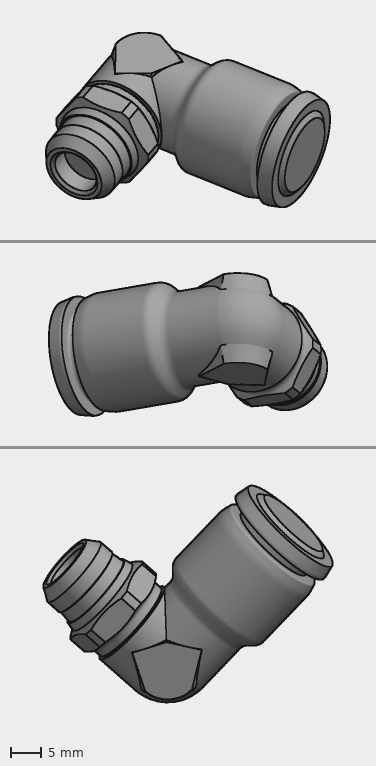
import cadquery as cq
import math


elbow_radius = 8.0
stud_leg_end = 8.05

socket_radius = 10.0
shoulder_start = 9.18
shoulder_fillet = 2.0
shoulder_angle = math.radians(45)
socket_straight_end = 23.35
socket_taper_start = 24.4
socket_taper_angle = math.radians(15)
socket_edge_fillet = 0.47
socket_end = 25.83

collar_neck_radius = 7.4
collar_start = 27.45
collar_root_fillet = 0.55
collar_rim_width = 0.5
collar_end = 30.0
collar_end_radius = 9.55
nose_base_radius = 7.55
nose_tip_radius = 6.55
nose_end = 30.75

gap_radius = 7.35
gap_width = 0.2
neck_radius = 7.55
neck_straight_end = 9.37
neck_root_fillet = 0.7
hex_start = neck_straight_end + neck_root_fillet
hex_flat_distance = 16.0
hex_corner_radius = 8.8
hex_chamfer_angle = math.radians(30)
hex_face_radius = 7.9
hex_end = 14.65
seat_radius = 7.35
seat_end = 16.15
seat_end_radius = 7.0
relief_radius = 6.72
relief_end_radius = 6.45
relief_end = 18.4
thread_start = 18.5
thread_radius = 6.65
thread_end = 21.05
thread_end_radius = 6.6
tip_radius = 5.3
stud_end = 23.1

bore_radius = 3.95
bore_mouth_radius = 4.5
bore_mouth_depth = 0.55
bore_depth = 3.7

pad_arc_radius = 5.45
pad_shoulder = (6.1, 2.0)
pad_inner_corner = 3.15
pad_draft = 15
pad_depth = 4.75


def make_elbow():
    """Two equal round legs meeting in a mitre, closed outside by a sphere."""
    ball = cq.Workplane("XY").sphere(elbow_radius)
    socket_leg = cq.Workplane("YZ").circle(elbow_radius).extrude(shoulder_start)
    stud_leg = cq.Workplane("XZ").circle(elbow_radius).extrude(stud_leg_end)
    return ball.union(socket_leg).union(stud_leg)


def make_pad():
    """Drafted flat pad, flush with the top of the elbow and symmetric about the line y = -x."""
    shoulder_x, shoulder_y = pad_shoulder
    arc_middle = pad_arc_radius * math.sqrt(0.5)
    return (
        cq.Workplane("XY", origin=(0, 0, elbow_radius))
        .moveTo(0, pad_arc_radius)
        .lineTo(shoulder_x, shoulder_y)
        .lineTo(pad_inner_corner, -pad_inner_corner)
        .lineTo(-shoulder_y, -shoulder_x)
        .lineTo(-pad_arc_radius, 0)
        .threePointArc((-arc_middle, arc_middle), (0, pad_arc_radius))
        .close()
        .extrude(-pad_depth, taper=-pad_draft)
    )


def make_socket():
    """Socket and release collar, turned about the X axis as one profile of (x, radius)."""
    half_turn = shoulder_angle / 2
    fillet_run = shoulder_fillet * math.sin(shoulder_angle)
    fillet_rise = shoulder_fillet * (1 - math.cos(shoulder_angle))
    half_run = shoulder_fillet * math.sin(half_turn)
    half_rise = shoulder_fillet * (1 - math.cos(half_turn))
    cone_rise = socket_radius - elbow_radius - 2 * fillet_rise
    cone_run = cone_rise / math.tan(shoulder_angle)
    cone_start = shoulder_start + fillet_run
    cone_end = cone_start + cone_run
    straight_start = cone_end + fillet_run

    taper_run = socket_taper_start - socket_straight_end
    taper_start_radius = socket_radius - taper_run * math.tan(socket_taper_angle / 2)
    edge_start = socket_end - socket_edge_fillet * (1 - math.sin(socket_taper_angle))
    edge_radius = taper_start_radius - (edge_start - socket_taper_start) * math.tan(socket_taper_angle)
    end_radius = edge_radius - socket_edge_fillet * math.cos(socket_taper_angle)

    return (
        cq.Workplane("XY")
        .moveTo(0, 0)
        .lineTo(0, elbow_radius)
        .lineTo(shoulder_start, elbow_radius)
        .threePointArc(
            (shoulder_start + half_run, elbow_radius + half_rise),
            (cone_start, elbow_radius + fillet_rise),
        )
        .lineTo(cone_end, socket_radius - fillet_rise)
        .threePointArc((straight_start - half_run, socket_radius - half_rise), (straight_start, socket_radius))
        .lineTo(socket_straight_end, socket_radius)
        .tangentArcPoint((socket_taper_start, taper_start_radius), relative=False)
        .lineTo(edge_start, edge_radius)
        .tangentArcPoint((socket_end, end_radius), relative=False)
        .lineTo(socket_end, collar_neck_radius)
        .lineTo(collar_start - collar_root_fillet, collar_neck_radius)
        .tangentArcPoint((collar_start, collar_neck_radius + collar_root_fillet), relative=False)
        .lineTo(collar_start, socket_radius)
        .lineTo(collar_start + collar_rim_width, socket_radius)
        .lineTo(collar_end, collar_end_radius)
        .lineTo(collar_end, nose_base_radius)
        .lineTo(nose_end, nose_tip_radius)
        .lineTo(nose_end, 0)
        .close()
        .revolve(360, (0, 0, 0), (1, 0, 0))
    )


def turn_about_y(profile):
    """Solid of revolution about the Y axis."""
    return profile.close().revolve(360, (0, 0, 0), (0, 1, 0))


def make_stud():
    """Neck, sealing seat and thread below the elbow, as one profile of (radius, y)."""
    gap_end = stud_leg_end + gap_width
    return turn_about_y(
        cq.Workplane("XY")
        .moveTo(0, 0)
        .lineTo(gap_radius, 0)
        .lineTo(gap_radius, -gap_end)
        .lineTo(neck_radius, -gap_end)
        .lineTo(neck_radius, -neck_straight_end)
        .tangentArcPoint((hex_face_radius, -hex_start), relative=False)
        .lineTo(seat_radius, -hex_end)
        .lineTo(seat_end_radius, -seat_end)
        .lineTo(relief_radius, -seat_end)
        .lineTo(relief_end_radius, -relief_end)
        .lineTo(thread_radius, -thread_start)
        .lineTo(thread_end_radius, -thread_end)
        .lineTo(tip_radius, -stud_end)
        .lineTo(0, -stud_end)
    )


def make_hexagon():
    """Hexagon with flats on +Z and -Z, its corners turned round and chamfered at both ends."""
    across_corners = hex_flat_distance / math.cos(math.radians(30))
    prism = (
        cq.Workplane("XZ", origin=(0, -hex_start, 0))
        .polygon(6, across_corners)
        .extrude(hex_end - hex_start)
    )
    chamfer_slope = math.tan(hex_chamfer_angle)
    upper_chamfer = (hex_corner_radius - hex_face_radius) * chamfer_slope
    lower_chamfer = (hex_corner_radius - seat_radius) * chamfer_slope
    envelope = turn_about_y(
        cq.Workplane("XY")
        .moveTo(0, -hex_start)
        .lineTo(hex_face_radius, -hex_start)
        .lineTo(hex_corner_radius, -hex_start - upper_chamfer)
        .lineTo(hex_corner_radius, -hex_end + lower_chamfer)
        .lineTo(seat_radius, -hex_end)
        .lineTo(0, -hex_end)
    )
    return prism.intersect(envelope)


def make_bore():
    """Blind bore in the stud with a chamfered mouth."""
    return turn_about_y(
        cq.Workplane("XY")
        .moveTo(0, -stud_end)
        .lineTo(bore_mouth_radius, -stud_end)
        .lineTo(bore_radius, -stud_end + bore_mouth_depth)
        .lineTo(bore_radius, -stud_end + bore_depth)
        .lineTo(0, -stud_end + bore_depth)
    )


upper_pad = make_pad()
lower_pad = upper_pad.mirror("XY")

result = make_elbow().union(make_socket()).union(upper_pad).union(lower_pad)
result = result.union(make_stud()).union(make_hexagon()).cut(make_bore())